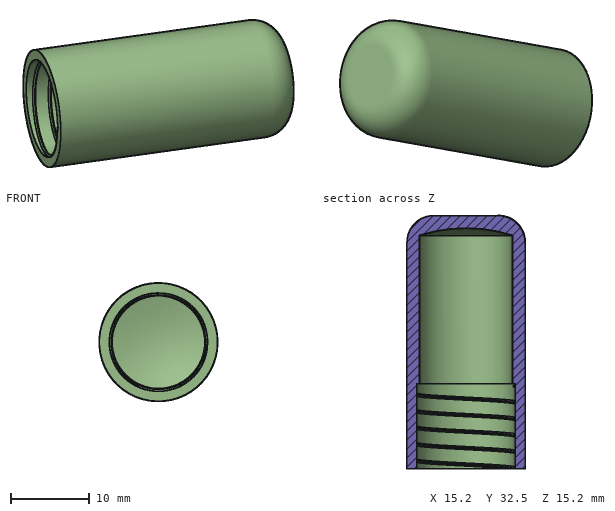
import cadquery as cq
import math

CAP_LENGTH = 32.5
CAP_RADIUS = 7.6
END_ROUNDING = 3.48
MOUTH_Y = -CAP_LENGTH / 2
END_Y = MOUTH_Y + CAP_LENGTH

THREADED_RADIUS = 6.3
THREADED_DEPTH = 10.9
NARROW_RADIUS = 5.95
DOME_SPHERE_RADIUS = 19.5
FLOOR_THICKNESS = CAP_RADIUS - NARROW_RADIUS

CREST_RADIUS = 6.05
THREAD_PITCH = 2.1
THREAD_TURNS = 5
THREAD_BASE = 0.4
THREAD_START = 0.03


def outer_body():
    """Solid round bar with its +Y edge rounded."""
    return (
        cq.Workplane("XZ", origin=(0, MOUTH_Y, 0))
        .circle(CAP_RADIUS)
        .extrude(-CAP_LENGTH)
        .faces(">Y")
        .edges()
        .fillet(END_ROUNDING)
    )


def bore():
    """Stepped bore with a spherical floor, revolved about Y."""
    step_y = MOUTH_Y + THREADED_DEPTH
    apex_y = END_Y - FLOOR_THICKNESS
    sphere_center_y = apex_y - DOME_SPHERE_RADIUS
    rim_angle = math.asin(NARROW_RADIUS / DOME_SPHERE_RADIUS)

    def dome_point(angle):
        """Point of the dome profile at an angle from the axis, seen from the sphere center."""
        return (
            DOME_SPHERE_RADIUS * math.sin(angle),
            sphere_center_y + DOME_SPHERE_RADIUS * math.cos(angle),
        )

    return (
        cq.Workplane("XY")
        .moveTo(0, MOUTH_Y)
        .lineTo(THREADED_RADIUS, MOUTH_Y)
        .lineTo(THREADED_RADIUS, step_y)
        .lineTo(NARROW_RADIUS, step_y)
        .lineTo(*dome_point(rim_angle))
        .threePointArc(dome_point(rim_angle / 2), (0, apex_y))
        .close()
        .revolve(360, (0, 0, 0), (0, 1, 0))
    )


def make_cap():
    return outer_body().cut(bore())


def make_thread():
    """Helical ridge, built along +Z from a mouth plane at Z = 0 and then laid along +Y."""
    helix = cq.Wire.makeHelix(THREAD_PITCH, THREAD_TURNS * THREAD_PITCH, THREADED_RADIUS)
    ridge = (
        cq.Workplane("XZ")
        .moveTo(THREADED_RADIUS, -THREAD_BASE / 2)
        .lineTo(THREADED_RADIUS, THREAD_BASE / 2)
        .lineTo(CREST_RADIUS, 0)
        .close()
        .sweep(cq.Workplane(helix), isFrenet=True)
        .translate((0, 0, THREAD_START))
    )
    beyond_mouth = cq.Workplane("XY").circle(CAP_RADIUS).extrude(-THREAD_BASE)
    trimmed = ridge.cut(beyond_mouth)
    return trimmed.rotate((0, 0, 0), (1, 0, 0), -90).translate((0, MOUTH_Y, 0))


cap = make_cap()
thread = make_thread()

result = cq.Compound.makeCompound([cap.solids().val(), thread.solids().val()])